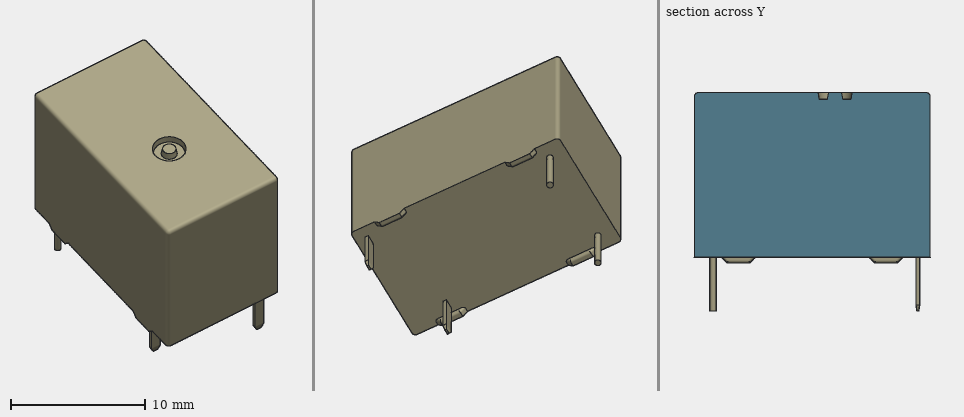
import cadquery as cq

body_length = 17.6
body_width = 10.1
overall_height = 16.31
pin_length = 4.0
body_height = overall_height - pin_length
edge_radius = 0.3

foot_height = 0.42
foot_top_length = 2.5
foot_side_run = 0.4
foot_depth = 0.5
foot_edge_radius = 0.2
foot_centers_x = (-5.5, 5.5)

vent_x = 1.7
vent_depth = 0.5
vent_top_diameter = 2.5
vent_floor_diameter = 2.36
post_top_diameter = 1.0
post_base_diameter = 1.2

pin_pitch = 2.54
row_spacing = 3 * pin_pitch
row_offset_y = row_spacing / 2
last_pin_x = 7.87
contact_positions = ((last_pin_x - pin_pitch, -row_offset_y), (last_pin_x, row_offset_y))
coil_pin_x = -7.4
coil_pin_diameter = 0.5
contact_thickness = 0.3
contact_width = 0.8
contact_tip_height = 0.45
contact_tip_thickness = 0.15
contact_tip_width = 0.4


def make_housing():
    """Box with its bottom at Z = 0, rounded on the top and upright edges."""
    box = cq.Workplane("XY").box(body_length, body_width, body_height, centered=(True, True, False))
    return box.edges("|Z or >Z").fillet(edge_radius)


def cone(bottom_diameter, top_diameter):
    """Tapered disc that fills the depth of the vent and ends at the top face."""
    return (
        cq.Workplane("XY", origin=(vent_x, 0, body_height - vent_depth))
        .circle(bottom_diameter / 2)
        .workplane(offset=vent_depth)
        .circle(top_diameter / 2)
        .loft()
    )


def make_vent():
    """Ring-shaped recess left around the post."""
    recess = cone(vent_floor_diameter, vent_top_diameter)
    return recess.cut(cone(post_base_diameter, post_top_diameter))


def make_foot(center_x, side):
    """Trapezoidal foot flush with the long side face (side is -1 or +1 along Y).

    Its inner edges are rounded except where it meets the housing.
    """
    half_top = foot_top_length / 2
    half_bottom = half_top - foot_side_run
    outline = [
        (center_x - half_top, 0),
        (center_x + half_top, 0),
        (center_x + half_bottom, -foot_height),
        (center_x - half_bottom, -foot_height),
    ]
    outer_face = cq.Workplane("XZ", origin=(0, side * body_width / 2, 0))
    foot = outer_face.polyline(outline).close().extrude(side * foot_depth)
    inner_face = "<Y" if side > 0 else ">Y"
    return foot.faces(inner_face).edges("not >Z").fillet(foot_edge_radius)


def make_coil_pin(y):
    """Round pin with a flat end."""
    return cq.Workplane("XY", origin=(coil_pin_x, y, 0)).circle(coil_pin_diameter / 2).extrude(-pin_length)


def make_contact_pin(x, y):
    """Flat blade with a tip that tapers in both directions."""
    shank_length = pin_length - contact_tip_height
    shank = (
        cq.Workplane("XY", origin=(x, y, 0))
        .rect(contact_thickness, contact_width)
        .extrude(-shank_length)
    )
    tip = (
        cq.Workplane("XY", origin=(x, y, -shank_length))
        .rect(contact_thickness, contact_width)
        .workplane(offset=-contact_tip_height)
        .rect(contact_tip_thickness, contact_tip_width)
        .loft()
    )
    return shank.union(tip)


result = make_housing().cut(make_vent())
for side in (-1, 1):
    for foot_x in foot_centers_x:
        result = result.union(make_foot(foot_x, side))
    result = result.union(make_coil_pin(side * row_offset_y))
for contact_x, contact_y in contact_positions:
    result = result.union(make_contact_pin(contact_x, contact_y))